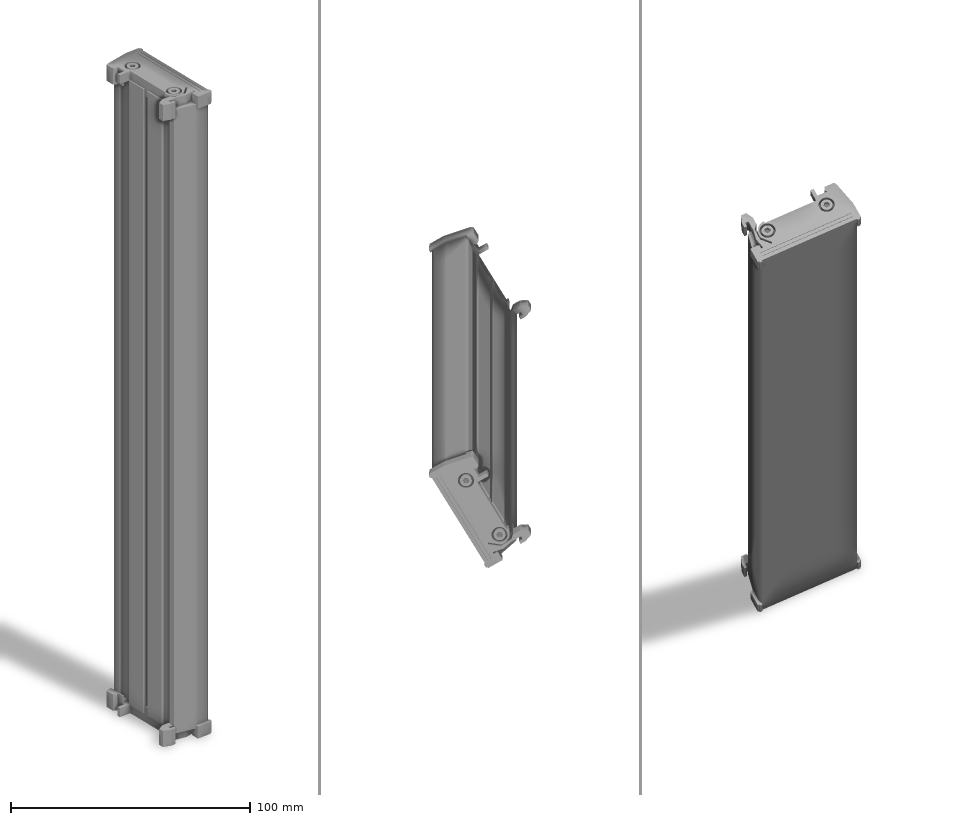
import cadquery as cq

length = 306.8

cap_thickness = 4.3
skirt_height = 5.8
foot_height = 7.7
cap_width = 48.2
back_y = -0.5
lip_width = 1.2
shoulder_y = -7.7
cap_front_y = -16.0
foot_y = -20.2
notch_y = -17.8
prong_y = -21.5
prong_left_x = 12.3
prong_right_x = 10.7
prong_gap_left_x = -13.5
prong_gap_right_x = 16.0
groove_length = 42.3
groove_width = 0.3
groove_depth = 0.3
back_groove_ys = (-2.3, -4.0)

hook_outer_x = 21.8
hook_foot_x = 21.2
hook_inner_x = 17.0
hook_side_end_y = -19.3
hook_lip_x = 16.0
hook_lip_y = -18.7

boss_start_x = 13.2
boss_front_y = -17.0
boss_middle_x = 16.5
boss_middle_y = -15.3
boss_end_x = 17.8
boss_end_y = -10.5
slit_end_x = 14.5
slit_end_y = -6.5
slit_width = 0.5
arm_inner_x = 18.5
arm_bend_y = -9.8
arm_end_y = -15.0
arm_outer_x = 19.0
arm_bulge_x = 20.0
arm_bulge_y = -10.7
arm_root_x = 20.0
arm_root_y = -5.8
nose_inner_x = 16.5
nose_top_y = -17.2
nose_bottom_y = -20.5
toe_inner_x = 18.0
toe_outer_x = 20.5
toe_y = -23.5
barb_outer_x = 21.8
barb_inner_x = 20.5
barb_root_y = -19.5

housing_half_width = 22.7
taper_half_width = 21.0
taper_front_y = -16.3
rail_outer_x = 20.0
rail_front_y = -17.2
housing_front_y = -16.5
cover_thickness = 1.2
cover_back_half_width = 22.0
rail_inner_x = 17.0
channel_inner_x = 10.7
channel_wall_run = 0.5
channel_floor_y = -15.5
slot_width = 2.8
slot_depth = 1.5
tab_width = 1.2

screw_x = 13.8
screw_y = -12.3
head_radius = 2.5
head_height = 2.8
counterbore_radius = 3.5
shank_radius = 1.5
shank_length = 9.2
socket_width = 2.8
socket_depth = 1.5

half_length = length / 2
cap_half_width = cap_width / 2
housing_end_z = half_length - cap_thickness
housing_length = 2 * housing_end_z
cover_front_y = back_y - cover_thickness


def box(x_min, x_max, y_min, y_max, z_min, z_max):
    return (
        cq.Workplane("XY")
        .box(x_max - x_min, y_max - y_min, z_max - z_min, centered=False)
        .translate((x_min, y_min, z_min))
    )


def at_both_ends(body):
    """The body at the upper end followed by its mirror image at the lower end."""
    return [body, body.mirror("XY")]


def screw_cylinders(x, top_radius):
    """Stepped cylinder at the upper end: a head of the given radius on the screw shank."""
    under_head = cq.Workplane("XY", origin=(x, screw_y, half_length - head_height))
    head = under_head.circle(top_radius).extrude(head_height)
    shank = under_head.circle(shank_radius).extrude(-shank_length)
    return head.union(shank)


def make_screw(x):
    """Flush cap screw with a hexagon socket."""
    socket = (
        cq.Workplane("XY", origin=(x, screw_y, half_length))
        .polygon(6, socket_width)
        .extrude(-socket_depth)
    )
    return screw_cylinders(x, head_radius).cut(socket)


def housing_prism():
    """Full housing section with rails and channels along its front, before slot and screw holes."""
    wall_outer_x = channel_inner_x + channel_wall_run
    left_half = [
        (-housing_half_width, cover_front_y),
        (-housing_half_width, shoulder_y),
        (-taper_half_width, taper_front_y),
        (-rail_outer_x, rail_front_y),
        (-rail_inner_x, rail_front_y),
        (-rail_inner_x, channel_floor_y),
        (-wall_outer_x, channel_floor_y),
        (-channel_inner_x, housing_front_y),
    ]
    right_half = [(-x, y) for x, y in reversed(left_half)]
    return (
        cq.Workplane("XY", origin=(0, 0, -housing_end_z))
        .polyline(left_half + right_half)
        .close()
        .extrude(housing_length)
    )


def make_cover():
    """Flat strip along the back of the housing, with sloping sides."""
    return (
        cq.Workplane("XY", origin=(0, 0, -housing_end_z))
        .moveTo(-housing_half_width, cover_front_y)
        .lineTo(housing_half_width, cover_front_y)
        .lineTo(cover_back_half_width, back_y)
        .lineTo(-cover_back_half_width, back_y)
        .close()
        .extrude(housing_length)
    )


def make_housing():
    slot = box(
        -slot_width / 2,
        slot_width / 2,
        housing_front_y,
        housing_front_y + slot_depth,
        -housing_end_z,
        housing_end_z,
    )
    body = housing_prism().cut(slot)
    for x in (-screw_x, screw_x):
        for hole in at_both_ends(screw_cylinders(x, counterbore_radius)):
            body = body.cut(hole)
    return body


def cap_outline(height):
    """Cap cross-section: rail hook and prong on the left, sprung latch on the right."""
    outline = cq.Workplane("XY", origin=(0, 0, half_length))
    outline = outline.moveTo(-cap_half_width, back_y).lineTo(-cap_half_width, shoulder_y)

    outline = (
        outline.lineTo(-hook_outer_x, hook_side_end_y)
        .lineTo(-hook_foot_x, foot_y)
        .lineTo(-hook_inner_x, foot_y)
        .lineTo(-hook_lip_x, hook_lip_y)
        .lineTo(-hook_inner_x, notch_y)
    )

    outline = (
        outline.lineTo(-prong_left_x, notch_y)
        .lineTo(-prong_left_x, prong_y)
        .lineTo(-prong_right_x, prong_y)
        .lineTo(-prong_right_x, cap_front_y)
    )

    outline = (
        outline.lineTo(boss_start_x, cap_front_y)
        .lineTo(boss_start_x, boss_front_y)
        .threePointArc((boss_middle_x, boss_middle_y), (boss_end_x, boss_end_y))
        .lineTo(slit_end_x, slit_end_y)
        .lineTo(slit_end_x + slit_width, slit_end_y + slit_width)
        .lineTo(arm_inner_x, arm_bend_y)
        .lineTo(arm_inner_x, arm_end_y)
    )

    outline = (
        outline.lineTo(nose_inner_x, nose_top_y)
        .lineTo(nose_inner_x, nose_bottom_y)
        .lineTo(toe_inner_x, toe_y)
        .lineTo(toe_outer_x, toe_y)
        .lineTo(barb_outer_x, foot_y)
        .lineTo(barb_outer_x, notch_y)
        .lineTo(barb_inner_x, notch_y)
        .lineTo(barb_inner_x, barb_root_y)
        .lineTo(arm_outer_x, barb_root_y)
    )

    outline = (
        outline.lineTo(arm_outer_x, arm_end_y)
        .lineTo(arm_bulge_x, arm_bulge_y)
        .lineTo(arm_outer_x, arm_root_y)
        .lineTo(arm_root_x, arm_root_y)
        .lineTo(arm_root_x, shoulder_y)
        .lineTo(cap_half_width, shoulder_y)
        .lineTo(cap_half_width, back_y)
    )
    return outline.close().extrude(-height)


def make_cap():
    front_space = box(
        -cap_half_width,
        cap_half_width,
        toe_y,
        rail_front_y,
        half_length - foot_height,
        half_length,
    )
    prong_gap = box(
        prong_gap_left_x,
        prong_gap_right_x,
        toe_y,
        channel_floor_y,
        half_length - foot_height,
        housing_end_z,
    )
    feet = cap_outline(foot_height).intersect(front_space)
    body = cap_outline(skirt_height).union(feet).cut(prong_gap)
    body = body.cut(housing_prism()).cut(make_cover())

    for side in (-1, 1):
        lip_centre_x = side * (cap_half_width - lip_width)
        lip = box(
            lip_centre_x - lip_width / 2,
            lip_centre_x + lip_width / 2,
            back_y,
            0,
            half_length - skirt_height,
            half_length,
        )
        body = body.union(lip)

    tab = box(
        -tab_width / 2,
        tab_width / 2,
        cap_front_y,
        housing_front_y + slot_depth,
        half_length - foot_height,
        half_length,
    )
    body = body.union(tab)

    for y in back_groove_ys:
        groove = box(
            -groove_length / 2,
            groove_length / 2,
            y - groove_width / 2,
            y + groove_width / 2,
            half_length - groove_depth,
            half_length,
        )
        body = body.cut(groove)

    for x in (-screw_x, screw_x):
        body = body.cut(screw_cylinders(x, counterbore_radius))
    return body


housing = make_housing()
cover = make_cover()
caps = at_both_ends(make_cap())
screws = []
for x in (-screw_x, screw_x):
    screws += at_both_ends(make_screw(x))

result = cq.Compound.makeCompound([body.val() for body in [housing, cover, *caps, *screws]])